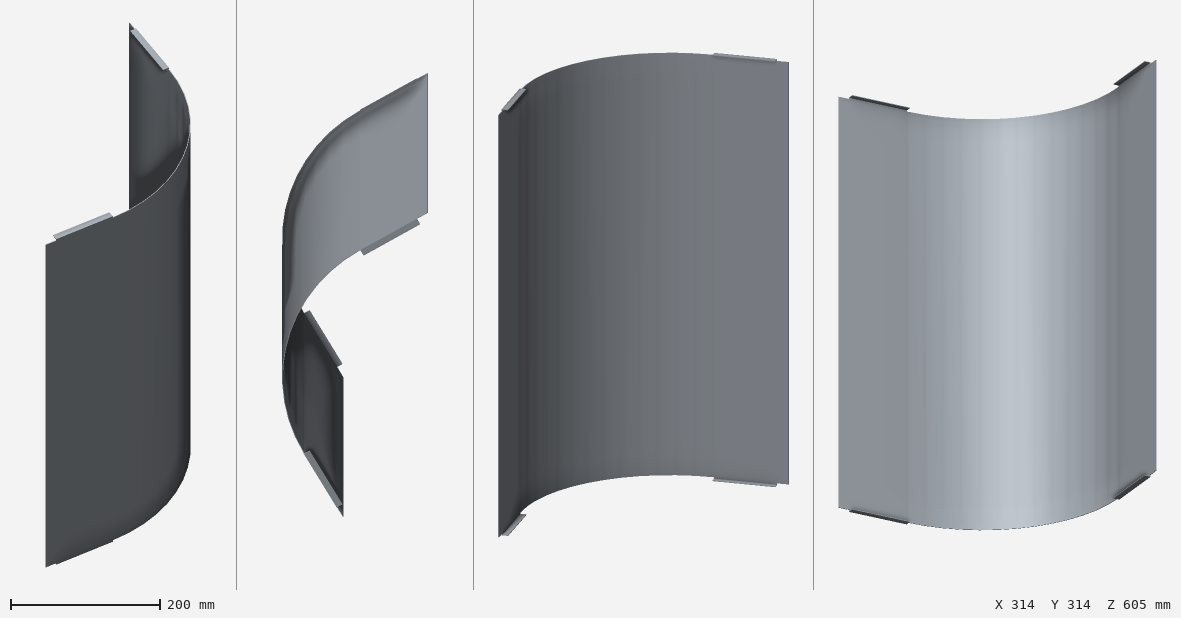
import cadquery as cq
import math

width = 314.0
total_height = 605.0
sheet = 1.0
flat_length = 105.5
outer_radius = width - flat_length

flange_start = 16.5
flange_length = 88.0
flange_depth = 9.0
flange_rise = 2.7

panel_height = total_height - 2 * flange_rise
half_height = total_height / 2
half_panel = panel_height / 2


def make_shell():
    """Two flat panels joined by a quarter-round bend; outer corner at +X, +Y."""
    outer = width / 2
    inner = outer - sheet
    free_edge = -width / 2
    bend_center = free_edge + flat_length
    inner_radius = outer_radius - sheet
    diagonal = math.sqrt(0.5)
    outer_mid = bend_center + outer_radius * diagonal
    inner_mid = bend_center + inner_radius * diagonal
    return (
        cq.Workplane("XY", origin=(0, 0, -half_panel))
        .moveTo(free_edge, outer)
        .lineTo(bend_center, outer)
        .threePointArc((outer_mid, outer_mid), (outer, bend_center))
        .lineTo(outer, free_edge)
        .lineTo(inner, free_edge)
        .lineTo(inner, bend_center)
        .threePointArc((inner_mid, inner_mid), (bend_center, inner))
        .lineTo(free_edge, inner)
        .close()
        .extrude(panel_height)
    )


def make_top_flange():
    """L-shaped flange at the top of the panel that lies along X."""
    outer = width / 2
    return (
        cq.Workplane("YZ", origin=(-width / 2 + flange_start, 0, 0))
        .moveTo(outer, half_panel)
        .lineTo(outer, half_height)
        .lineTo(outer - flange_depth, half_height)
        .lineTo(outer - flange_depth, half_height - sheet)
        .lineTo(outer - sheet, half_height - sheet)
        .lineTo(outer - sheet, half_panel)
        .close()
        .extrude(flange_length)
    )


def on_all_panel_ends(feature):
    """Copy a top-edge feature to the bottom edge and to the other panel."""
    both_ends = feature.union(feature.mirror("XY"))
    other_panel = both_ends.rotate((0, 0, 0), (0, 0, 1), 90).mirror("YZ")
    return both_ends.union(other_panel)


result = make_shell().union(on_all_panel_ends(make_top_flange())).clean()